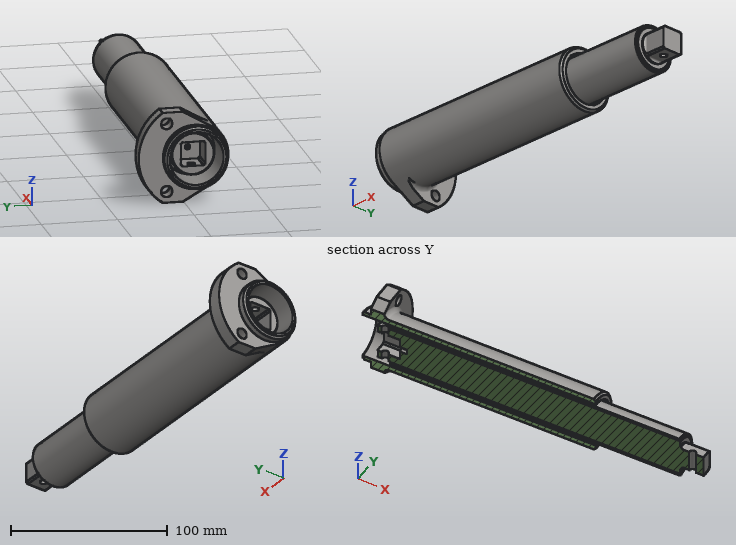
import cadquery as cq
import math


HOUSING_LENGTH = 171.5
BARREL_RADIUS = 22.0
BORE_RADIUS = 17.5
SPIGOT_RADIUS = 20.8
SPIGOT_LENGTH = 6.0
HOUSING_CHAMFER = 1.5

FLANGE_RADIUS = 36.5
FLANGE_THICKNESS = 10.0
FLANGE_HEIGHT = 60.0
FLANGE_HALF_HEIGHT = FLANGE_HEIGHT / 2
FLANGE_FILLET = 3.0
FLANGE_SIDE_ANGLE = 30
FLANGE_BACK = SPIGOT_LENGTH + FLANGE_THICKNESS
BOLT_HOLE_DIAMETER = 7.3
BOLT_HOLE_Y = 18.3
BOLT_HOLE_Z = 22.5

SLEEVE_START = 20.0
SLEEVE_END = 233.7
SLEEVE_RADIUS = 16.0
SLEEVE_CHAMFER = 0.8

SPINDLE_START = 11.0
SPINDLE_END = 250.7
SPINDLE_RADIUS = 14.0
SPINDLE_CHAMFER = 0.5
NECK_RADIUS = 10.5
NECK_LENGTH = 0.8
SQUARE_SIZE = 16.0
SQUARE_ROOT_FILLET = 1.5
DRIVE_START = SLEEVE_END + NECK_LENGTH
DRIVE_LENGTH = SPINDLE_END - DRIVE_START
SOCKET_DEPTH = DRIVE_LENGTH
FLOOR_HOLE_DIAMETER = 3.3
FLOOR_HOLE_DEPTH = 5.0
DETENT_HOLE_DIAMETER = 4.8
DETENT_DISTANCE = DRIVE_LENGTH / 2
SOCKET_DETENT_DISTANCE = 5.5


def cross_section(x):
    """Plane across the axis at x, with local x along +Y and local y along +Z."""
    return cq.Workplane("YZ", origin=(x, 0, 0))


def rod(start, end, radius):
    """Cylinder on the X axis."""
    return cross_section(start).circle(radius).extrude(end - start)


def flange_outline(length):
    """Prism of the flange outline: round at +Y, flat at top and bottom, tangent to the barrel.

    The closing side runs straight across inside the barrel.
    """
    round_y = math.sqrt(FLANGE_RADIUS**2 - FLANGE_HALF_HEIGHT**2)

    slope = math.radians(FLANGE_SIDE_ANGLE)
    contact_y = -BARREL_RADIUS * math.sin(slope)
    contact_z = BARREL_RADIUS * math.cos(slope)
    flat_y = (BARREL_RADIUS**2 - contact_z * FLANGE_HALF_HEIGHT) / contact_y

    return (
        cross_section(SPIGOT_LENGTH)
        .moveTo(contact_y, contact_z)
        .lineTo(flat_y, FLANGE_HALF_HEIGHT)
        .lineTo(round_y, FLANGE_HALF_HEIGHT)
        .threePointArc((FLANGE_RADIUS, 0), (round_y, -FLANGE_HALF_HEIGHT))
        .lineTo(flat_y, -FLANGE_HALF_HEIGHT)
        .lineTo(contact_y, -contact_z)
        .close()
        .extrude(length)
    )


def flange_root_fillet():
    """Concave ring between the flange's back and the barrel, trimmed to the flange outline."""
    arc_offset = FLANGE_FILLET * (1 - math.sqrt(0.5))
    ring = (
        cq.Workplane("XY")
        .moveTo(FLANGE_BACK, BORE_RADIUS)
        .lineTo(FLANGE_BACK, BARREL_RADIUS + FLANGE_FILLET)
        .threePointArc(
            (FLANGE_BACK + arc_offset, BARREL_RADIUS + arc_offset),
            (FLANGE_BACK + FLANGE_FILLET, BARREL_RADIUS),
        )
        .lineTo(FLANGE_BACK + FLANGE_FILLET, BORE_RADIUS)
        .close()
        .revolve(360, (0, 0, 0), (1, 0, 0))
    )
    return ring.intersect(flange_outline(FLANGE_THICKNESS + FLANGE_FILLET))


def make_housing():
    spigot = rod(0, SPIGOT_LENGTH, SPIGOT_RADIUS).faces("<X").chamfer(HOUSING_CHAMFER)
    barrel = rod(SPIGOT_LENGTH, HOUSING_LENGTH, BARREL_RADIUS).faces(">X").chamfer(HOUSING_CHAMFER)
    bolt_holes = (
        cross_section(SPIGOT_LENGTH)
        .pushPoints([(BOLT_HOLE_Y, BOLT_HOLE_Z), (BOLT_HOLE_Y, -BOLT_HOLE_Z)])
        .circle(BOLT_HOLE_DIAMETER / 2)
        .extrude(FLANGE_THICKNESS + FLANGE_FILLET)
    )
    flange = flange_outline(FLANGE_THICKNESS).union(flange_root_fillet()).cut(bolt_holes)
    bore = rod(0, HOUSING_LENGTH, BORE_RADIUS)
    return barrel.union(spigot).union(flange).cut(bore)


def make_sleeve():
    tube = rod(SLEEVE_START, SLEEVE_END, SLEEVE_RADIUS).faces(">X").chamfer(SLEEVE_CHAMFER)
    return tube.cut(rod(SLEEVE_START, SLEEVE_END, SPINDLE_RADIUS))


def rounded_square(start, length):
    """Square bar whose corners are turned down to the neck radius."""
    square = cross_section(start).rect(SQUARE_SIZE, SQUARE_SIZE).extrude(length)
    return square.intersect(rod(start, start + length, NECK_RADIUS))


def flats_profile(plane):
    """Bar between two opposite drive flats, flaring out through a concave root at the neck."""
    half = SQUARE_SIZE / 2
    wide = half + SQUARE_ROOT_FILLET
    root_end = DRIVE_START + SQUARE_ROOT_FILLET
    arc_offset = SQUARE_ROOT_FILLET * (1 - math.sqrt(0.5))
    return (
        cq.Workplane(plane)
        .moveTo(DRIVE_START, -wide)
        .threePointArc((DRIVE_START + arc_offset, -half - arc_offset), (root_end, -half))
        .lineTo(SPINDLE_END, -half)
        .lineTo(SPINDLE_END, half)
        .lineTo(root_end, half)
        .threePointArc((DRIVE_START + arc_offset, half + arc_offset), (DRIVE_START, wide))
        .close()
        .extrude(NECK_RADIUS, both=True)
    )


def make_drive():
    drive = rod(DRIVE_START, SPINDLE_END, NECK_RADIUS)
    for plane in ("XY", "XZ"):
        drive = drive.intersect(flats_profile(plane))
    return drive


def detent_hole(x):
    """Hole along Z through the whole spindle."""
    return (
        cq.Workplane("XY", origin=(x, 0, 0))
        .circle(DETENT_HOLE_DIAMETER / 2)
        .extrude(SPINDLE_RADIUS, both=True)
    )


def make_spindle():
    body = rod(SPINDLE_START, SLEEVE_END, SPINDLE_RADIUS).faces("<X").chamfer(SPINDLE_CHAMFER)
    neck = rod(SLEEVE_END, DRIVE_START, NECK_RADIUS)
    spindle = body.union(neck).union(make_drive())

    socket_floor = SPINDLE_START + SOCKET_DEPTH
    spindle = spindle.cut(rounded_square(SPINDLE_START, SOCKET_DEPTH))
    spindle = spindle.cut(rod(socket_floor, socket_floor + FLOOR_HOLE_DEPTH, FLOOR_HOLE_DIAMETER / 2))

    spindle = spindle.cut(detent_hole(SPINDLE_START + SOCKET_DETENT_DISTANCE))
    return spindle.cut(detent_hole(SPINDLE_END - DETENT_DISTANCE))


housing = make_housing()
sleeve = make_sleeve()
spindle = make_spindle()

result = cq.Compound.makeCompound([body.solids().val() for body in (housing, sleeve, spindle)])